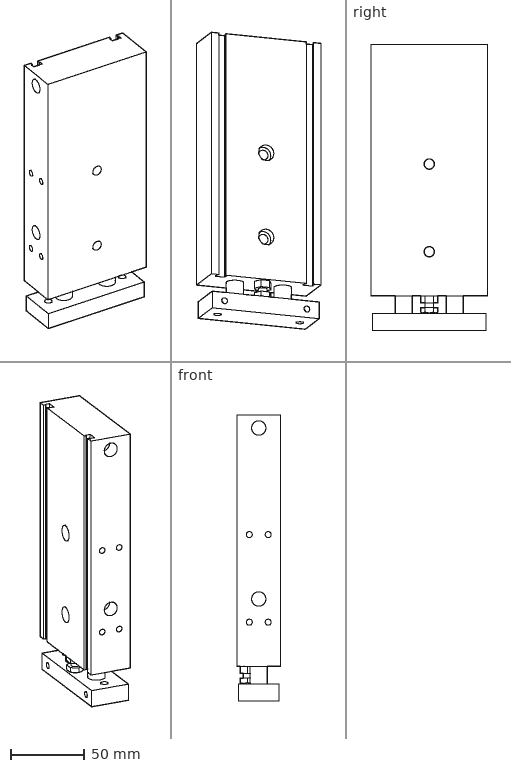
import cadquery as cq

TOTAL_HEIGHT = 196.0
HOUSING_DEPTH = 30.0
HOUSING_WIDTH = 80.0
PLATE_DEPTH = 28.0
PLATE_WIDTH = 78.0
PLATE_THICKNESS = 12.0
GAP = 12.0
HOUSING_BOTTOM = PLATE_THICKNESS + GAP
HOUSING_HEIGHT = TOTAL_HEIGHT - HOUSING_BOTTOM
HOUSING_FRONT_X = -HOUSING_DEPTH / 2
HOUSING_SIDE_Y = -HOUSING_WIDTH / 2

SLOT_Y = 32.0
SLOT_NECK_WIDTH = 5.3
SLOT_HEAD_WIDTH = 6.9
SLOT_LIP = 1.8
SLOT_DEPTH = 4.9

MOUNT_HEIGHTS = (54.0, 114.0)
MOUNT_BORE_DIAMETER = 6.9
MOUNT_COUNTERBORE_DIAMETER = 11.0
MOUNT_COUNTERBORE_DEPTH = 6.0
SIDE_HOLE_X = 6.5
THREAD_DIAMETER = 4.1
THREAD_DEPTH = 7.8

PORT_HEIGHTS = (70.0, 187.0)
PORT_DIAMETER = 9.8
PORT_DEPTH = 11.8

ROD_DIAMETER = 12.0
ROD_Y = 17.5
PLATE_HOLE_Y = 30.0
PLATE_HOLE_DIAMETER = 5.0

BOLT_X = -7.6
BOLT_DIAMETER = 6.0
HEX_ACROSS_CORNERS = 12.0
BOLT_HEAD_HEIGHT = 4.0
HEAD_CHAMFER_HEIGHT = 0.8
HEAD_CHAMFER_INSET = 1.4
NUT_HEIGHT = 4.9


def hole_along_x(start_x, y, z, diameter, depth):
    """Cylinder that runs toward +X from start_x."""
    return cq.Workplane(
        cq.Solid.makeCylinder(diameter / 2, depth, cq.Vector(start_x, y, z), cq.Vector(1, 0, 0))
    )


def hole_along_y(x, start_y, z, diameter, depth):
    """Cylinder that runs toward +Y from start_y."""
    return cq.Workplane(
        cq.Solid.makeCylinder(diameter / 2, depth, cq.Vector(x, start_y, z), cq.Vector(0, 1, 0))
    )


def slot_cutter(y):
    """T-shaped slot over the whole housing height: narrow neck and wider head."""
    def channel(width, start_depth, end_depth):
        return (
            cq.Workplane("XY", origin=(HOUSING_FRONT_X + start_depth, y, HOUSING_BOTTOM))
            .box(end_depth - start_depth, width, HOUSING_HEIGHT, centered=(False, True, False))
        )

    neck = channel(SLOT_NECK_WIDTH, 0, SLOT_DEPTH)
    return neck.union(channel(SLOT_HEAD_WIDTH, SLOT_LIP, SLOT_DEPTH))


def make_housing():
    body = cq.Workplane("XY", origin=(0, 0, HOUSING_BOTTOM)).box(
        HOUSING_DEPTH, HOUSING_WIDTH, HOUSING_HEIGHT, centered=(True, True, False)
    )
    for y in (-SLOT_Y, SLOT_Y):
        body = body.cut(slot_cutter(y))
    for z in MOUNT_HEIGHTS:
        body = body.cut(hole_along_x(HOUSING_FRONT_X, 0, z, MOUNT_BORE_DIAMETER, HOUSING_DEPTH))
        body = body.cut(
            hole_along_x(HOUSING_FRONT_X, 0, z, MOUNT_COUNTERBORE_DIAMETER, MOUNT_COUNTERBORE_DEPTH)
        )
        for x in (-SIDE_HOLE_X, SIDE_HOLE_X):
            body = body.cut(hole_along_y(x, HOUSING_SIDE_Y, z, THREAD_DIAMETER, THREAD_DEPTH))
    for z in PORT_HEIGHTS:
        body = body.cut(hole_along_y(0, HOUSING_SIDE_Y, z, PORT_DIAMETER, PORT_DEPTH))
    return body


def make_plate_with_rods():
    """End plate and the two guide rods that rise from it to the housing."""
    body = cq.Workplane("XY").box(
        PLATE_DEPTH, PLATE_WIDTH, PLATE_THICKNESS, centered=(True, True, False)
    )
    rods = (
        cq.Workplane("XY", origin=(0, 0, PLATE_THICKNESS))
        .pushPoints([(0, -ROD_Y), (0, ROD_Y)])
        .circle(ROD_DIAMETER / 2)
        .extrude(GAP)
    )
    through_holes = (
        cq.Workplane("XY")
        .pushPoints([(0, -PLATE_HOLE_Y), (0, PLATE_HOLE_Y)])
        .circle(PLATE_HOLE_DIAMETER / 2)
        .extrude(PLATE_THICKNESS)
    )
    body = body.union(rods).cut(through_holes)
    for y in (-PLATE_HOLE_Y, PLATE_HOLE_Y):
        body = body.cut(
            hole_along_x(-PLATE_DEPTH / 2, y, PLATE_THICKNESS / 2, THREAD_DIAMETER, THREAD_DEPTH)
        )
    return body


def hexagon(bottom_z, height):
    """Hexagonal prism on the bolt axis with two flats facing -X and +X."""
    return (
        cq.Workplane("XY", origin=(BOLT_X, 0, bottom_z))
        .transformed(rotate=(0, 0, 90))
        .polygon(6, HEX_ACROSS_CORNERS)
        .extrude(height)
    )


def make_bolt():
    """Adjusting bolt: head on the plate, shank, and nut against the housing."""
    head_envelope = (
        cq.Workplane("XY", origin=(BOLT_X, 0, PLATE_THICKNESS))
        .circle(HEX_ACROSS_CORNERS / 2)
        .extrude(BOLT_HEAD_HEIGHT)
        .faces("<Z")
        .chamfer(HEAD_CHAMFER_HEIGHT, HEAD_CHAMFER_INSET)
    )
    head = hexagon(PLATE_THICKNESS, BOLT_HEAD_HEIGHT).intersect(head_envelope)
    nut = hexagon(HOUSING_BOTTOM - NUT_HEIGHT, NUT_HEIGHT)
    shank = cq.Workplane("XY", origin=(BOLT_X, 0, PLATE_THICKNESS)).circle(BOLT_DIAMETER / 2).extrude(GAP)
    return head.union(shank).union(nut)


housing = make_housing()
plate_with_rods = make_plate_with_rods()
bolt = make_bolt()

result = cq.Compound.makeCompound([housing.val(), plate_with_rods.val(), bolt.val()])